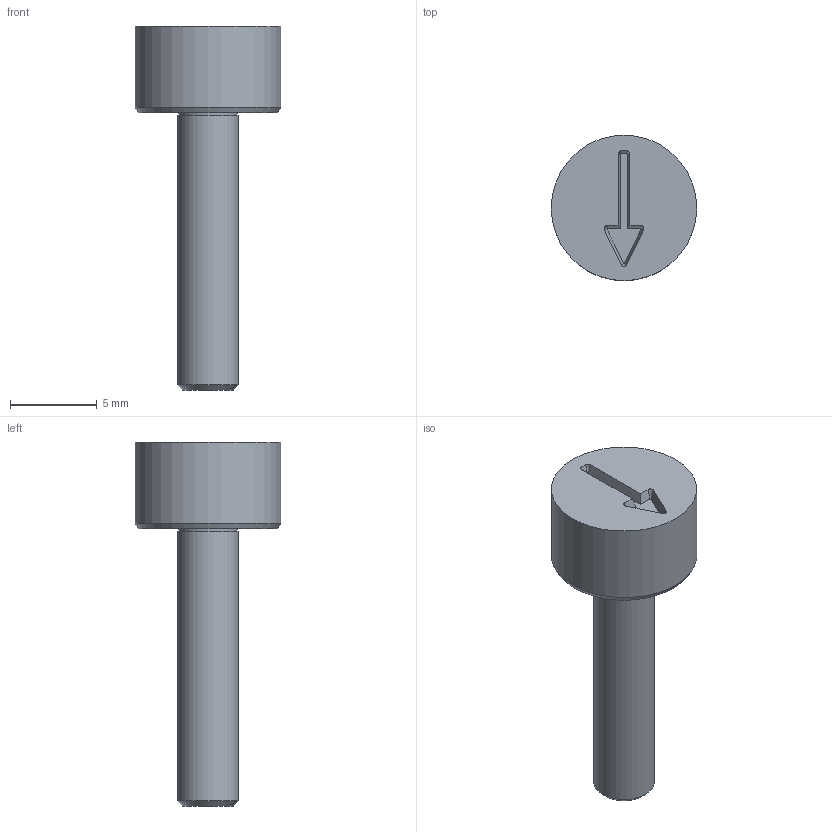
import cadquery as cq
import math

total_length = 21.0
head_diameter = 8.4
head_height = 5.0
pin_diameter = 3.5

head_chamfer_height = 0.3
head_chamfer_angle = 30.0
pin_chamfer = 0.3
neck_height = 0.15
neck_inset = 0.06
neck_flare = 0.015

arrow_tail_y = 3.1
arrow_tip_y = -3.2
arrow_stem_width = 0.31
arrow_head_width = 1.9
arrow_head_length = 2.0
arrow_depth = 0.6
arrow_floor_margin = 0.03
arrow_wall_angle = 15.0

head_radius = head_diameter / 2
pin_radius = pin_diameter / 2
head_bottom = total_length - head_height
head_chamfer_width = head_chamfer_height * math.tan(math.radians(head_chamfer_angle))
neck_radius = pin_radius - neck_inset


def make_body():
    """Headed pin revolved about Z, with the pin end at Z = 0."""
    profile = (
        cq.Workplane("XZ")
        .moveTo(0, 0)
        .lineTo(pin_radius - pin_chamfer, 0)
        .lineTo(pin_radius, pin_chamfer)
        .lineTo(pin_radius, head_bottom - neck_height)
        .lineTo(neck_radius, head_bottom - neck_height)
        .lineTo(neck_radius + neck_flare, head_bottom)
        .lineTo(head_radius - head_chamfer_width, head_bottom)
        .lineTo(head_radius, head_bottom + head_chamfer_height)
        .lineTo(head_radius, total_length)
        .lineTo(0, total_length)
        .close()
    )
    return profile.revolve(360, (0, 0, 0), (0, 1, 0))


def make_arrow_cutter():
    """Arrow that widens from the pocket floor up to the top face; outer corners become cones."""
    barb_y = arrow_tip_y + arrow_head_length
    half_stem = arrow_stem_width / 2
    half_head = arrow_head_width / 2
    outline = [
        (0, arrow_tip_y),
        (half_head, barb_y),
        (half_stem, barb_y),
        (half_stem, arrow_tail_y),
        (-half_stem, arrow_tail_y),
        (-half_stem, barb_y),
        (-half_head, barb_y),
    ]
    floor_plane = cq.Workplane("XY").workplane(offset=total_length - arrow_depth)
    floor_outline = floor_plane.polyline(outline).close().offset2D(arrow_floor_margin, "arc")
    return floor_outline.extrude(arrow_depth, taper=-arrow_wall_angle)


result = make_body().cut(make_arrow_cutter())